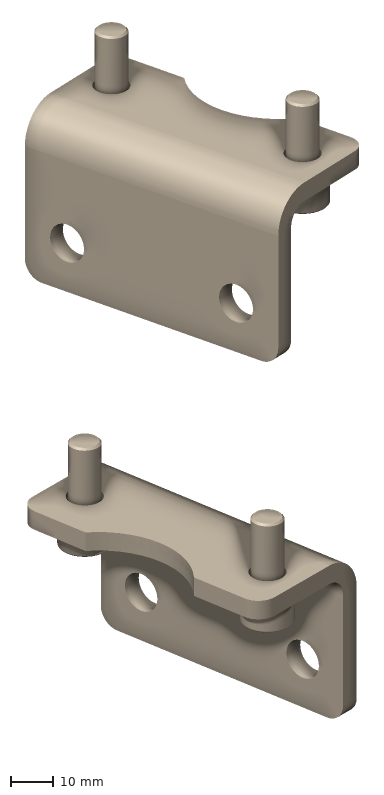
import cadquery as cq
import math

width = 75.0
depth = 35.0
height = 45.0
thickness = 5.0
bend_inner_radius = 5.0
bend_outer_radius = bend_inner_radius + thickness
corner_radius = 5.0

mount_hole_diameter = 10.0
mount_hole_spacing = 50.0
mount_hole_height = 13.0

flange_axis_y = 50.0
relief_diameter = 45.0

screw_circle_diameter = 80.0
screw_angle = math.radians(45)
screw_offset_x = screw_circle_diameter / 2 * math.sin(screw_angle)
screw_y = flange_axis_y - screw_circle_diameter / 2 * math.cos(screw_angle)
clearance_diameter = 9.0
shank_diameter = 8.0
shank_length = 20.0
shank_chamfer = 0.5
head_diameter = 13.0
head_height = 8.0
head_fillet = 0.5

top_underside = height - thickness


def make_bracket():
    """Bent plate: upright flange along the front, top flange running back in +Y."""
    profile = (
        cq.Workplane("YZ")
        .moveTo(0, 0)
        .lineTo(0, height - bend_outer_radius)
        .radiusArc((bend_outer_radius, height), bend_outer_radius)
        .lineTo(depth, height)
        .lineTo(depth, top_underside)
        .lineTo(bend_outer_radius, top_underside)
        .radiusArc((thickness, height - bend_outer_radius), -bend_inner_radius)
        .lineTo(thickness, 0)
        .close()
    )
    bracket = profile.extrude(width / 2, both=True)

    bracket = bracket.faces("<Z").edges("|Y").fillet(corner_radius)
    bracket = bracket.faces(">Y").edges("|Z").fillet(corner_radius)

    mount_holes = (
        cq.Workplane("XZ")
        .pushPoints([(side * mount_hole_spacing / 2, mount_hole_height) for side in (-1, 1)])
        .circle(mount_hole_diameter / 2)
        .extrude(-thickness)
    )
    clearance_holes = (
        cq.Workplane("XY", origin=(0, screw_y, top_underside))
        .pushPoints([(side * screw_offset_x, 0) for side in (-1, 1)])
        .circle(clearance_diameter / 2)
        .extrude(thickness)
    )
    relief = (
        cq.Workplane("XY", origin=(0, flange_axis_y, top_underside))
        .circle(relief_diameter / 2)
        .extrude(thickness)
    )
    return bracket.cut(mount_holes).cut(clearance_holes).cut(relief)


def make_screw(x):
    """Screw with its head seated under the top flange and its shank pointing up."""
    head = (
        cq.Workplane("XY", origin=(x, screw_y, top_underside - head_height))
        .circle(head_diameter / 2)
        .extrude(head_height)
        .faces("<Z").edges().fillet(head_fillet)
    )
    shank = (
        cq.Workplane("XY", origin=(x, screw_y, top_underside))
        .circle(shank_diameter / 2)
        .extrude(shank_length)
        .faces(">Z").edges().chamfer(shank_chamfer)
    )
    return head.union(shank)


bracket = make_bracket()
screws = [make_screw(side * screw_offset_x) for side in (-1, 1)]

result = cq.Compound.makeCompound([bracket.val(), *[screw.val() for screw in screws]])